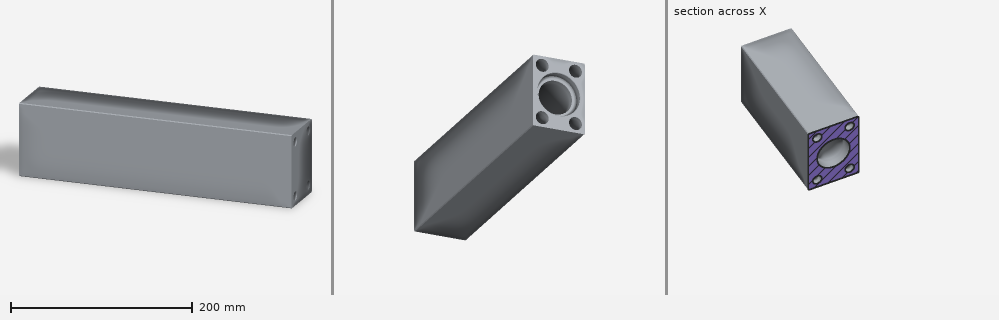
import cadquery as cq

length = 321.0
width = 63.0
height = 85.0
edge_chamfer = 1.0

recess_diameter = 51.0
recess_depth = 9.5
recess_chamfer = 0.48
bore_diameter = 40.0
end_wall = 64.2
bore_depth = length - end_wall

hole_spacing_y = 40.0
hole_spacing_z = 63.0
hole_diameter = 10.5
counterbore_diameter = 15.5
counterbore_depth = 2 * counterbore_diameter


def make_block():
    """Block with its four long edges chamfered."""
    return cq.Workplane("XY").box(length, width, height).edges("|X").chamfer(edge_chamfer)


def end_cylinder(diameter, depth, y=0, z=0):
    """Cylinder running from the -X end face into the block."""
    end_plane = cq.Workplane("YZ", origin=(-length / 2, 0, 0))
    return end_plane.center(y, z).circle(diameter / 2).extrude(depth)


def cut_central_bore(body):
    """Recess with a chamfered mouth, then the smaller bore behind it."""
    body = body.cut(end_cylinder(recess_diameter, recess_depth))
    body = body.faces("<X").edges("%CIRCLE").chamfer(recess_chamfer)
    return body.cut(end_cylinder(bore_diameter, bore_depth))


def cut_corner_holes(body):
    """Counterbored hole near each corner of the end face."""
    for y in (-hole_spacing_y / 2, hole_spacing_y / 2):
        for z in (-hole_spacing_z / 2, hole_spacing_z / 2):
            body = body.cut(end_cylinder(hole_diameter, length, y, z))
            body = body.cut(end_cylinder(counterbore_diameter, counterbore_depth, y, z))
    return body


result = cut_corner_holes(cut_central_bore(make_block()))